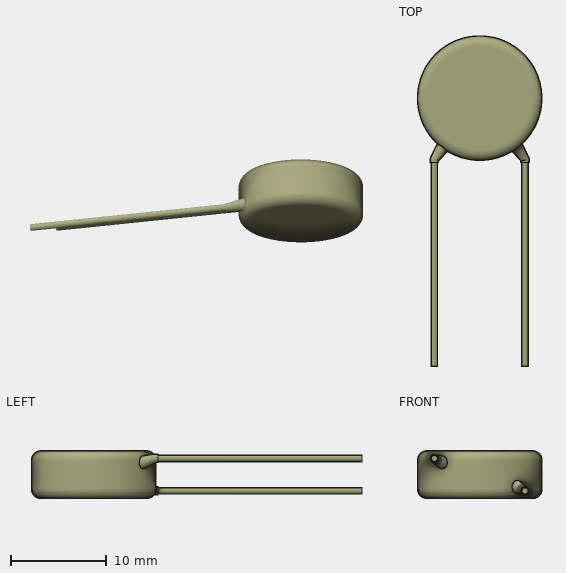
import cadquery as cq

disc_radius = 6.503
disc_thickness = 5.0
rim_fillet = 1.0
total_length = 34.5

lead_radius = 0.35
lead_offset_x = 4.73
lead_offset_z = 1.7

sleeve_mouth_radius = 0.45
sleeve_root_radius = 0.72
sleeve_mouth_y = -6.7
elbow_y = -6.38
root_offset_x = 3.65
root_y = -4.8
root_offset_z = 1.17

lead_tip_y = disc_radius - total_length

lead_sides = (-1, 1)


def make_disc():
    """Round capacitor body with both rims rounded."""
    disc = cq.Workplane("XY").circle(disc_radius).extrude(disc_thickness)
    disc = disc.translate((0, 0, -disc_thickness / 2))
    return disc.faces("|Z").edges().fillet(rim_fillet)


def make_sleeve(side):
    """Coating around a lead: a cone out of the disc, a rounded elbow and a short straight mouth."""
    root = cq.Vector(side * root_offset_x, root_y, -side * root_offset_z)
    elbow = cq.Vector(side * lead_offset_x, elbow_y, -side * lead_offset_z)
    slope = elbow - root
    cone = cq.Solid.makeCone(sleeve_root_radius, sleeve_mouth_radius, slope.Length, root, slope)
    joint = cq.Workplane("XY").sphere(sleeve_mouth_radius).translate(elbow)
    mouth = cq.Solid.makeCylinder(
        sleeve_mouth_radius, elbow_y - sleeve_mouth_y, elbow, cq.Vector(0, -1, 0)
    )
    return joint.union(cq.Workplane(cone)).union(cq.Workplane(mouth))


def make_lead(side):
    """Straight round wire from the face of its sleeve mouth to the tip."""
    start = cq.Vector(side * lead_offset_x, sleeve_mouth_y, -side * lead_offset_z)
    return cq.Solid.makeCylinder(
        lead_radius, sleeve_mouth_y - lead_tip_y, start, cq.Vector(0, -1, 0)
    )


coating = make_disc()
for side in lead_sides:
    coating = coating.union(make_sleeve(side))

leads = [make_lead(side) for side in lead_sides]

result = cq.Compound.makeCompound([coating.val(), *leads])